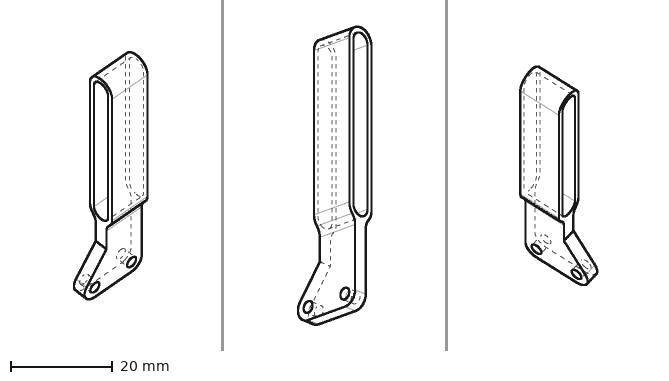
import cadquery as cq
import math

height = 59.05
loop_width = 6.4
foot_length = 15.5

loop_depth = 9.55
wall = 1.2
loop_radius = loop_width / 2
slot_radius = loop_radius - wall
upper_center_z = height - loop_radius
lower_center_z = 20.95

stem_width = 3.1
neck_radius = 3.2
corner_radius = 2.8
hole_diameter = 2.4
slant_top_z = 11.45

front_y = -loop_depth
rear_hole_y = -corner_radius
front_hole_y = corner_radius - foot_length

half_stem = stem_width / 2
neck_center_x = half_stem + neck_radius
center_distance = loop_radius + neck_radius
neck_center_z = lower_center_z - math.sqrt(center_distance**2 - neck_center_x**2)
neck_angle = math.atan2(neck_center_z - lower_center_z, neck_center_x)


def point_on_circle(center, radius, angle):
    return (center[0] + radius * math.cos(angle), center[1] + radius * math.sin(angle))


def make_front_profile():
    """Loop, neck and stem in the XZ plane, extruded over the loop and foot."""
    lower_center = (0, lower_center_z)
    neck_center = (neck_center_x, neck_center_z)
    blend = point_on_circle(lower_center, loop_radius, neck_angle)
    loop_mid = point_on_circle(lower_center, loop_radius, neck_angle / 2)
    neck_mid = point_on_circle(neck_center, neck_radius, math.pi + neck_angle / 2)

    def mirrored(point):
        return (-point[0], point[1])

    return (
        cq.Workplane("XZ")
        .moveTo(half_stem, 0)
        .lineTo(half_stem, neck_center_z)
        .threePointArc(neck_mid, blend)
        .threePointArc(loop_mid, (loop_radius, lower_center_z))
        .lineTo(loop_radius, upper_center_z)
        .threePointArc((0, height), (-loop_radius, upper_center_z))
        .lineTo(-loop_radius, lower_center_z)
        .threePointArc(mirrored(loop_mid), mirrored(blend))
        .threePointArc(mirrored(neck_mid), (-half_stem, neck_center_z))
        .lineTo(-half_stem, 0)
        .close()
        .extrude(foot_length)
    )


def make_side_profile():
    """Side outline in the YZ plane: straight loop, slanted edge, rounded foot."""
    front_center = (front_hole_y, corner_radius)
    offset_y = front_y - front_hole_y
    offset_z = slant_top_z - corner_radius
    slant_normal = math.atan2(offset_z, offset_y) + math.acos(
        corner_radius / math.hypot(offset_y, offset_z)
    )
    slant_end = point_on_circle(front_center, corner_radius, slant_normal)
    front_mid = point_on_circle(front_center, corner_radius, (slant_normal + 1.5 * math.pi) / 2)
    rear_mid = point_on_circle((rear_hole_y, corner_radius), corner_radius, -math.pi / 4)

    return (
        cq.Workplane("YZ")
        .moveTo(0, height)
        .lineTo(front_y, height)
        .lineTo(front_y, slant_top_z)
        .lineTo(*slant_end)
        .threePointArc(front_mid, (front_hole_y, 0))
        .lineTo(rear_hole_y, 0)
        .threePointArc(rear_mid, (0, corner_radius))
        .close()
        .extrude(loop_radius, both=True)
    )


def make_slot():
    """Round-ended slot through the loop along Y."""
    slot_length = upper_center_z - lower_center_z + 2 * slot_radius
    return (
        cq.Workplane("XZ")
        .center(0, (upper_center_z + lower_center_z) / 2)
        .slot2D(slot_length, 2 * slot_radius, 90)
        .extrude(foot_length)
    )


def make_holes():
    """Two pin holes through the foot along X, concentric with its corners."""
    return (
        cq.Workplane("YZ")
        .pushPoints([(rear_hole_y, corner_radius), (front_hole_y, corner_radius)])
        .circle(hole_diameter / 2)
        .extrude(stem_width, both=True)
    )


body = make_front_profile().intersect(make_side_profile())
result = body.cut(make_slot()).cut(make_holes())